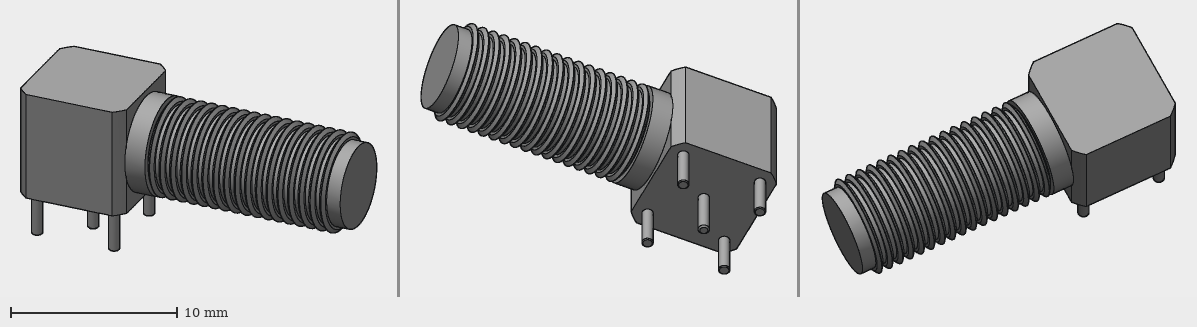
import cadquery as cq


BLOCK_SIDE = 7.0
BLOCK_CORNER_DIAMETER = 9.0
BLOCK_HALF = BLOCK_SIDE / 2

OVERALL_LENGTH = 21
COLLAR_DIAMETER = 6.2
COLLAR_LENGTH = 1.32
BARREL_DIAMETER = 5.33
BARREL_LENGTH = OVERALL_LENGTH - BLOCK_SIDE

RIDGE_COUNT = 17
RIDGE_SPAN = 11.3
RIDGE_PITCH = RIDGE_SPAN / (RIDGE_COUNT - 1)
RIDGE_WIDTH = 0.4
RIDGE_CREST_WIDTH = 0.032
RIDGE_SHOULDER_DIAMETER = 5.7
RIDGE_CREST_DIAMETER = COLLAR_DIAMETER
FIRST_RIDGE_OFFSET = 0.3

PIN_DIAMETER = 0.7
LEG_SPACING = 5.08
LEG_LENGTH = 2.75
LEG_TIP_CHAMFER = 0.06
CONTACT_LENGTH = 3.0
CONTACT_TIP_CHAMFER = 0.1


def make_block():
    """Cube whose vertical edges are rounded off by a large coaxial cylinder."""
    cube = cq.Workplane("XY").box(BLOCK_SIDE, BLOCK_SIDE, BLOCK_SIDE)
    turning = cq.Workplane("XY").circle(BLOCK_CORNER_DIAMETER / 2).extrude(BLOCK_HALF, both=True)
    return cube.intersect(turning)


def make_barrel():
    """Collar, plain barrel and thread ridges, turned as one profile about X."""
    barrel_radius = BARREL_DIAMETER / 2
    collar_radius = COLLAR_DIAMETER / 2
    shoulder_radius = RIDGE_SHOULDER_DIAMETER / 2
    crest_radius = RIDGE_CREST_DIAMETER / 2
    collar_end = BLOCK_HALF + COLLAR_LENGTH
    barrel_end = BLOCK_HALF + BARREL_LENGTH

    outline = [
        (BLOCK_HALF, 0),
        (BLOCK_HALF, collar_radius),
        (collar_end, collar_radius),
        (collar_end, barrel_radius),
    ]
    for index in range(RIDGE_COUNT):
        crest_x = collar_end + FIRST_RIDGE_OFFSET + index * RIDGE_PITCH
        ridge_start = crest_x - RIDGE_WIDTH / 2
        ridge_end = crest_x + RIDGE_WIDTH / 2
        outline += [
            (ridge_start, barrel_radius),
            (ridge_start, shoulder_radius),
            (crest_x - RIDGE_CREST_WIDTH / 2, crest_radius),
            (crest_x + RIDGE_CREST_WIDTH / 2, crest_radius),
            (ridge_end, shoulder_radius),
            (ridge_end, barrel_radius),
        ]
    outline += [(barrel_end, barrel_radius), (barrel_end, 0)]
    return cq.Workplane("XY").polyline(outline).close().revolve(360, (0, 0, 0), (1, 0, 0))


def make_pin(length, tip_chamfer):
    """Round pin hanging from the underside of the block, chamfered at its lower end."""
    pin = cq.Workplane("XY").workplane(offset=-BLOCK_HALF).circle(PIN_DIAMETER / 2).extrude(-length)
    return pin.faces("<Z").chamfer(tip_chamfer)


def make_housing():
    """Block, threaded barrel and four corner legs as one body."""
    housing = make_block().union(make_barrel())
    for x_side in (-1, 1):
        for y_side in (-1, 1):
            leg = make_pin(LEG_LENGTH, LEG_TIP_CHAMFER)
            leg_place = (x_side * LEG_SPACING / 2, y_side * LEG_SPACING / 2, 0)
            housing = housing.union(leg.translate(leg_place))
    return housing


housing = make_housing()
centre_contact = make_pin(CONTACT_LENGTH, CONTACT_TIP_CHAMFER)

result = cq.Compound.makeCompound([housing.val(), centre_contact.val()])